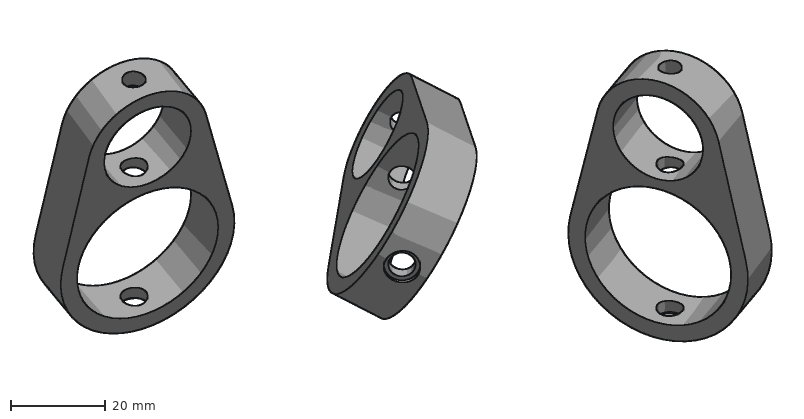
import cadquery as cq
import math

length = 65.55
thickness = 12.0

large_outer_diameter = 42.0
large_outer_radius = large_outer_diameter / 2
small_outer_radius = 14.5
large_bore_diameter = 34.1
small_bore_diameter = 21.0
center_distance = length - large_outer_radius - small_outer_radius

upper_hole_diameter = 5.05
lower_hole_diameter = 5.8
counterbore_diameter = 7.75
counterbore_depth = 1.2

small_center_z = center_distance


def disc(radius, center_z):
    """Full-thickness cylinder along X, centered on the YZ plane."""
    return (
        cq.Workplane("YZ")
        .center(0, center_z)
        .circle(radius)
        .extrude(thickness / 2, both=True)
    )


def tangent_web():
    """Block between the four points where the straight flanks touch the rings."""
    flank_angle = math.asin((large_outer_radius - small_outer_radius) / center_distance)
    across = math.cos(flank_angle)
    along = math.sin(flank_angle)
    large_y = large_outer_radius * across
    large_z = large_outer_radius * along
    small_y = small_outer_radius * across
    small_z = small_center_z + small_outer_radius * along
    corners = [(-large_y, large_z), (large_y, large_z), (small_y, small_z), (-small_y, small_z)]
    return cq.Workplane("YZ").polyline(corners).close().extrude(thickness / 2, both=True)


def radial_hole(diameter, bottom_z, top_z):
    """Vertical cylinder between two heights on the center line."""
    return (
        cq.Workplane("XY")
        .workplane(offset=bottom_z)
        .circle(diameter / 2)
        .extrude(top_z - bottom_z)
    )


body = disc(large_outer_radius, 0).union(disc(small_outer_radius, small_center_z)).union(tangent_web())
body = body.cut(disc(large_bore_diameter / 2, 0))
body = body.cut(disc(small_bore_diameter / 2, small_center_z))

body = body.cut(radial_hole(upper_hole_diameter, small_center_z, small_center_z + small_outer_radius))

body = body.cut(radial_hole(lower_hole_diameter, -large_outer_radius, small_center_z))

counterbore_top_z = -large_outer_radius + counterbore_depth
body = body.cut(radial_hole(counterbore_diameter, -large_outer_radius, counterbore_top_z))

result = body